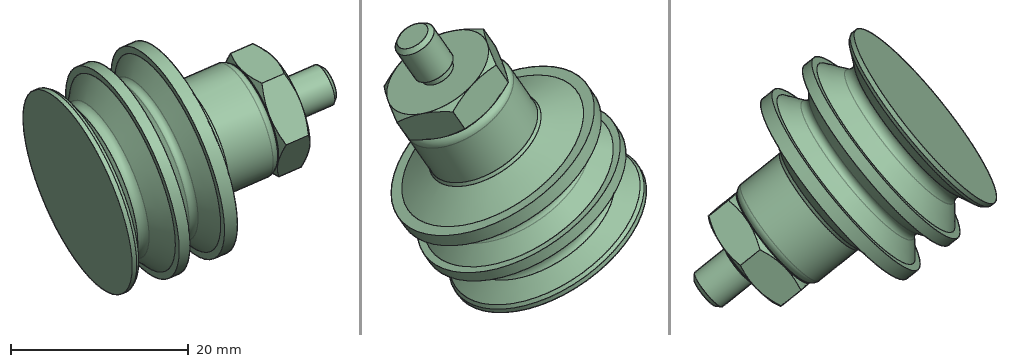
import cadquery as cq
import math

TOTAL_LENGTH = 32.37

lip_radius = 25.0 / 2
lip_band = 0.58
lip_shoulder_y = 1.0
lip_shoulder_radius = 12.2

rim_radius = 26.0 / 2
fold_radius = 12.1
lower_rim_front, lower_rim_back = 5.8, 7.2
upper_rim_front, upper_rim_back = 11.65, 13.35
lower_neck_front, lower_neck_back = 2.33, 3.8
upper_neck_front, upper_neck_back = 8.77, 9.95
lower_neck_radius = 9.4
upper_neck_radius = 9.7
neck_arc_depth = 0.25

cone_radius = 11.62
cone_back = 15.18
cone_end_radius = 7.2

body_radius = 14.0 / 2
body_front = 15.6
body_round = 1.0

nut_front, nut_back = 22.35, 26.38
nut_across_flats = 13.0
nut_angle = 17.4
nut_chamfer_slope = 30.0

stud_radius = 5.0 / 2
undercut_radius = 4.0 / 2
undercut_back = 27.35
stud_chamfer = 0.52


def neck(profile, radius, front, back):
    """Continue the profile to a neck and round its bottom with an arc."""
    edge_radius = radius + neck_arc_depth
    return profile.lineTo(edge_radius, front).threePointArc(
        (radius, (front + back) / 2), (edge_radius, back)
    )


def rim(profile, front, back, back_radius):
    """Continue the profile around a projecting rim."""
    return (
        profile.lineTo(fold_radius, front)
        .lineTo(rim_radius, front)
        .lineTo(rim_radius, back)
        .lineTo(back_radius, back)
    )


def make_cup():
    """Revolve the lip, bellows and body about the Y axis."""
    profile = (
        cq.Workplane("XY")
        .lineTo(lip_radius, 0)
        .lineTo(lip_radius, lip_band)
        .lineTo(lip_shoulder_radius, lip_shoulder_y)
    )
    profile = neck(profile, lower_neck_radius, lower_neck_front, lower_neck_back)
    profile = rim(profile, lower_rim_front, lower_rim_back, fold_radius)
    profile = neck(profile, upper_neck_radius, upper_neck_front, upper_neck_back)
    profile = rim(profile, upper_rim_front, upper_rim_back, cone_radius)
    profile = (
        profile.lineTo(cone_end_radius, cone_back)
        .lineTo(body_radius, body_front)
        .lineTo(body_radius, nut_front - body_round)
        .radiusArc((body_radius - body_round, nut_front), -body_round)
        .lineTo(0, nut_front)
        .close()
    )
    return profile.revolve(360, (0, 0, 0), (0, 1, 0))


def make_nut():
    """Hexagonal prism with both ends chamfered by cones."""
    corner_radius = nut_across_flats / math.sqrt(3)
    face_radius = nut_across_flats / 2
    chamfer_height = (corner_radius - face_radius) * math.tan(math.radians(nut_chamfer_slope))
    corners = []
    for i in range(6):
        angle = math.radians(nut_angle + 60 * i)
        corners.append((corner_radius * math.cos(angle), corner_radius * math.sin(angle)))
    prism = (
        cq.Workplane("XZ", origin=(0, nut_front, 0))
        .polyline(corners)
        .close()
        .extrude(nut_front - nut_back)
    )
    envelope = (
        cq.Workplane("XY")
        .moveTo(0, nut_front)
        .lineTo(face_radius, nut_front)
        .lineTo(corner_radius, nut_front + chamfer_height)
        .lineTo(corner_radius, nut_back - chamfer_height)
        .lineTo(face_radius, nut_back)
        .lineTo(0, nut_back)
        .close()
        .revolve(360, (0, 0, 0), (0, 1, 0))
    )
    return prism.intersect(envelope)


def make_stud():
    """Undercut and stud with a chamfered tip."""
    return (
        cq.Workplane("XY")
        .moveTo(0, nut_back)
        .lineTo(undercut_radius, nut_back)
        .lineTo(undercut_radius, undercut_back)
        .lineTo(stud_radius, undercut_back)
        .lineTo(stud_radius, TOTAL_LENGTH - stud_chamfer)
        .lineTo(stud_radius - stud_chamfer, TOTAL_LENGTH)
        .lineTo(0, TOTAL_LENGTH)
        .close()
        .revolve(360, (0, 0, 0), (0, 1, 0))
    )


result = make_cup().union(make_nut()).union(make_stud())